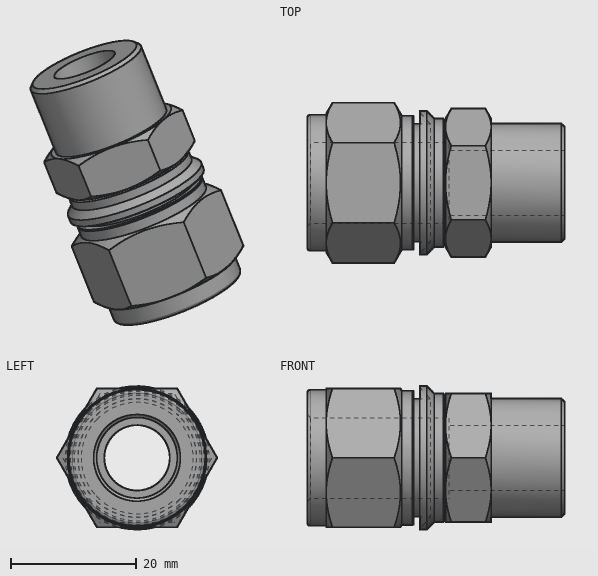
import cadquery as cq
import math

LENGTH = 41.2
NUT_HEX_START = 3.05
NUT_HEX_END = 15.1
NUT_END = 17.05
FLANGE_START = 18.0
FLANGE_RIM_END = 19.15
FLANGE_CONE_END = 20.3
SHOULDER_END = 22.0
BODY_HEX_START = 22.12
BODY_HEX_END = 29.4

NUT_COLLAR_DIAMETER = 21.8
NUT_SKIRT_DIAMETER = 21.5
NECK_DIAMETER = 18.9
FLANGE_DIAMETER = 23.0
SHOULDER_DIAMETER = 20.6
SPIGOT_DIAMETER = 19.05

NUT_ACROSS_CORNERS = 25.65
NUT_ACROSS_FLATS = NUT_ACROSS_CORNERS * math.cos(math.radians(30))
BODY_ACROSS_FLATS = 20.6
BODY_ACROSS_CORNERS = BODY_ACROSS_FLATS / math.cos(math.radians(30))
HEX_CHAMFER_ANGLE = 30.0

FLANGE_LIP_WIDTH = 0.2
FLANGE_RECESS_DEPTH = 1.65

NUT_FACE_FILLET = 0.5
NUT_SKIRT_CHAMFER_LENGTH = 0.25
NUT_SKIRT_CHAMFER_DEPTH = 0.1
SHOULDER_CHAMFER = 0.25
SPIGOT_CHAMFER = 0.58

BORE_DIAMETER = 10.42
SOCKET_DIAMETER = 12.9
SOCKET_DEPTH = 22.65
MOUTH_CHAMFER = 0.5


def cylinder(diameter, start, end):
    """Solid cylinder on the X axis between two positions."""
    return cq.Workplane("YZ", origin=(start, 0, 0)).circle(diameter / 2).extrude(end - start)


def revolved(profile):
    """Solid of revolution about X from (axial position, radius) points."""
    return cq.Workplane("XY").polyline(profile).close().revolve(360, (0, 0, 0), (1, 0, 0))


def chamfered_hex(across_corners, start, end, start_diameter, end_diameter):
    """Hexagonal prism with corners on Y, its ends trimmed by cones of the given face diameters."""
    prism = cq.Workplane("YZ", origin=(start, 0, 0)).polygon(6, across_corners).extrude(end - start)
    corner_radius = across_corners / 2
    slope = math.tan(math.radians(HEX_CHAMFER_ANGLE))
    start_setback = (corner_radius - start_diameter / 2) * slope
    end_setback = (corner_radius - end_diameter / 2) * slope
    envelope = revolved([
        (start, 0),
        (start, start_diameter / 2),
        (start + start_setback, corner_radius),
        (end - end_setback, corner_radius),
        (end, end_diameter / 2),
        (end, 0),
    ])
    return prism.intersect(envelope)


def make_nut():
    """Compression nut: rounded collar, hexagon and round skirt."""
    collar = cylinder(NUT_COLLAR_DIAMETER, 0, NUT_HEX_START).faces("<X").edges().fillet(NUT_FACE_FILLET)
    hexagon = chamfered_hex(
        NUT_ACROSS_CORNERS, NUT_HEX_START, NUT_HEX_END, NUT_ACROSS_FLATS, NUT_SKIRT_DIAMETER
    )
    skirt_radius = NUT_SKIRT_DIAMETER / 2
    skirt = revolved([
        (NUT_HEX_END, 0),
        (NUT_HEX_END, skirt_radius),
        (NUT_END - NUT_SKIRT_CHAMFER_LENGTH, skirt_radius),
        (NUT_END, skirt_radius - NUT_SKIRT_CHAMFER_DEPTH),
        (NUT_END, 0),
    ])
    return collar.union(hexagon).union(skirt)


def make_flange():
    """Dished rim: tapered outside, with a conical recess around the neck on the nut side."""
    return revolved([
        (FLANGE_START + FLANGE_RECESS_DEPTH, 0),
        (FLANGE_START + FLANGE_RECESS_DEPTH, NECK_DIAMETER / 2),
        (FLANGE_START, FLANGE_DIAMETER / 2 - FLANGE_LIP_WIDTH),
        (FLANGE_START, FLANGE_DIAMETER / 2),
        (FLANGE_RIM_END, FLANGE_DIAMETER / 2),
        (FLANGE_CONE_END, SHOULDER_DIAMETER / 2),
        (FLANGE_CONE_END, 0),
    ])


def make_body():
    """Fitting body: neck, flange, shoulder, hexagon and plain spigot."""
    neck = cylinder(NECK_DIAMETER, NUT_END, BODY_HEX_START)
    shoulder = cylinder(SHOULDER_DIAMETER, FLANGE_CONE_END, SHOULDER_END).faces(">X").chamfer(SHOULDER_CHAMFER)
    hexagon = chamfered_hex(
        BODY_ACROSS_CORNERS, BODY_HEX_START, BODY_HEX_END, BODY_ACROSS_FLATS, BODY_ACROSS_FLATS
    )
    spigot = cylinder(SPIGOT_DIAMETER, BODY_HEX_END, LENGTH).faces(">X").chamfer(SPIGOT_CHAMFER)
    return neck.union(make_flange()).union(shoulder).union(hexagon).union(spigot)


def make_bores():
    """Through bore with a wider tube socket and a chamfered mouth at the nut end."""
    through = cylinder(BORE_DIAMETER, 0, LENGTH)
    socket = cylinder(SOCKET_DIAMETER, 0, SOCKET_DEPTH)
    mouth = revolved([
        (0, 0),
        (0, SOCKET_DIAMETER / 2 + MOUTH_CHAMFER),
        (MOUTH_CHAMFER, SOCKET_DIAMETER / 2),
        (MOUTH_CHAMFER, 0),
    ])
    return through.union(socket).union(mouth)


result = make_nut().union(make_body()).cut(make_bores())